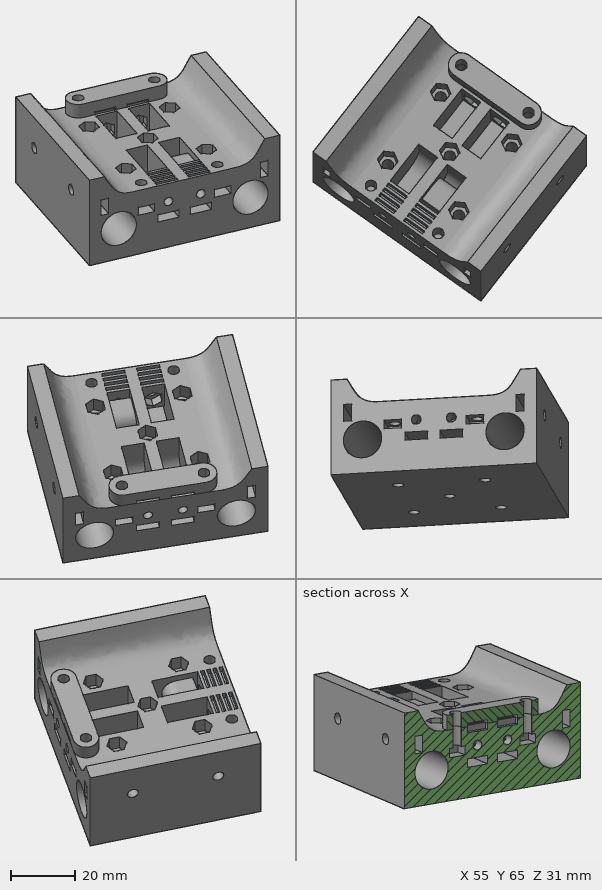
import cadquery as cq
import math

SIDES = (-1, 1)

block_length = 55.0
block_width = 65.0
block_height = 31.0
channel_floor_z = 23.1
channel_floor_width = 35.0
rim_width = 5.15
channel_slope_angle = math.radians(58.4)
floor_handle = 6.3
slope_handle = 5.45

bore_diameter = 12.0
bore_y = 22.5
bore_z = 11.0

screw_diameter = 3.5
nut_flats = 5.5
nut_corners = nut_flats / math.cos(math.pi / 6)
bolt_spacing = block_length / 2
nut_well_depth = 5.0
nut_thickness = 2.8

side_screw_z = 20.0
side_nut_slot_y = 27.25
side_nut_slot_thickness = 2.6

bar_width = 8.0
bar_height = 4.9
bar_screw_y = 13.0
bar_screw_x = block_length / 2 - bar_width / 2
bar_nut_slot_z = 15.5
belt_gap_height = 1.0

belt_width = 7.2
belt_y = 5.5
pocket_inner_x = 3.85
pocket_outer_x = 18.6
pocket_floor_z = 9.95
belt_slot_height = 2.6
scoop_run = 5.7
scoop_radius = 5.8
tension_hole_diameter = 3.0
tension_hole_z = 16.5

tooth_groove_count = 4
tooth_groove_width = 1.1
tooth_groove_depth = 2.0
tooth_groove_first_x = 20.1
tooth_groove_last_x = 26.0
tooth_groove_pitch = (tooth_groove_last_x - tooth_groove_first_x) / (tooth_groove_count - 1)

shoe_start_x = 7.0
shoe_length = 10.0
shoe_height = 8.8


def box(x_range, y_range, z_range):
    """Box between two limits on each axis, given in either order."""
    size = [abs(end - start) for start, end in (x_range, y_range, z_range)]
    low_corner = [min(limits) for limits in (x_range, y_range, z_range)]
    return cq.Workplane("XY").box(*size, centered=False).translate(tuple(low_corner))


def span(center, width):
    return (center - width / 2, center + width / 2)


def x_cylinder(diameter, x_range, y, z):
    start, end = sorted(x_range)
    return cq.Workplane("YZ", origin=(start, y, z)).circle(diameter / 2).extrude(end - start)


def z_cylinder(diameter, x, y, z_range):
    start, end = z_range
    return cq.Workplane("XY", origin=(x, y, start)).circle(diameter / 2).extrude(end - start)


def make_blank():
    """Block with a channel along X, each flank one curve from the flat floor to the rim."""
    half_width = block_width / 2
    floor_edge = (channel_floor_width / 2, channel_floor_z)
    rim_edge = (half_width - rim_width, block_height)
    floor_control = (floor_edge[0] + floor_handle, floor_edge[1])
    rim_control = (
        rim_edge[0] - slope_handle * math.cos(channel_slope_angle),
        rim_edge[1] - slope_handle * math.sin(channel_slope_angle),
    )
    flank = [rim_edge, rim_control, floor_control, floor_edge]
    opposite_flank = [(-y, z) for y, z in reversed(flank)]
    return (
        cq.Workplane("YZ", origin=(-block_length / 2, 0, 0))
        .moveTo(-half_width, 0)
        .lineTo(half_width, 0)
        .lineTo(half_width, block_height)
        .lineTo(*rim_edge)
        .bezier(flank)
        .lineTo(*opposite_flank[0])
        .bezier(opposite_flank)
        .lineTo(-half_width, block_height)
        .close()
        .extrude(block_length)
    )


def bolt_cutter(x, y):
    """Through hole with a hexagonal nut well open at the channel floor."""
    hole = z_cylinder(screw_diameter, x, y, (0, channel_floor_z))
    well_floor = cq.Workplane("XY", origin=(x, y, channel_floor_z - nut_well_depth))
    well = well_floor.polygon(6, nut_corners).extrude(nut_well_depth)
    return hole.union(well)


def side_screw_cutter(x_side, y_side):
    """Screw hole from a ±Y face, ending in a nut slot open at the end face."""
    screw_x = bolt_spacing / 2
    slot_start, slot_end = span(side_nut_slot_y, side_nut_slot_thickness)
    hole = (
        cq.Workplane("XZ", origin=(x_side * screw_x, y_side * slot_start, side_screw_z))
        .circle(screw_diameter / 2)
        .extrude(-y_side * (block_width / 2 - slot_start))
    )
    slot = box(
        (x_side * (screw_x - nut_flats / 2), x_side * block_length / 2),
        (y_side * slot_start, y_side * slot_end),
        span(side_screw_z, nut_flats),
    )
    return hole.union(slot)


def bar_screw_cutter(x_side, y_side):
    """Clamp screw hole from the channel floor into a nut slot open at the end face."""
    slot_z = span(bar_nut_slot_z, nut_thickness)
    hole = z_cylinder(screw_diameter, x_side * bar_screw_x, y_side * bar_screw_y,
                      (slot_z[0], channel_floor_z))
    slot = box(
        (x_side * (bar_screw_x - nut_flats / 2), x_side * block_length / 2),
        span(y_side * bar_screw_y, nut_flats),
        slot_z,
    )
    return hole.union(slot)


def belt_pocket_cutter(x_side, y_side):
    """Pocket with a scooped inner end, belt slot, and tension screw hole with nut recess."""
    belt_range = span(y_side * belt_y, belt_width)
    scoop_x = pocket_inner_x + scoop_run
    sweep_angle = math.asin(scoop_run / scoop_radius)

    def scoop_point(angle):
        return (
            x_side * (scoop_x - scoop_radius * math.sin(angle)),
            pocket_floor_z + scoop_radius * (1 - math.cos(angle)),
        )

    pocket = (
        cq.Workplane("XZ", origin=(0, belt_range[1], 0))
        .moveTo(x_side * pocket_outer_x, channel_floor_z)
        .lineTo(x_side * pocket_outer_x, pocket_floor_z)
        .lineTo(*scoop_point(0))
        .threePointArc(scoop_point(sweep_angle / 2), scoop_point(sweep_angle))
        .lineTo(x_side * pocket_inner_x, channel_floor_z)
        .close()
        .extrude(belt_width)
    )
    outward = (x_side * pocket_outer_x, x_side * block_length / 2)
    slot = box(outward, belt_range, (pocket_floor_z, pocket_floor_z + belt_slot_height))
    hole = x_cylinder(tension_hole_diameter, outward, y_side * belt_y, tension_hole_z)
    nut_recess = (
        cq.Workplane("YZ", origin=(x_side * pocket_outer_x, y_side * belt_y, tension_hole_z))
        .transformed(rotate=(0, 0, 90))
        .polygon(6, nut_corners)
        .extrude(x_side * nut_thickness)
    )
    return pocket.union(slot).union(hole).union(nut_recess)


def tooth_groove_cutter(x_side, y_side, index):
    groove_x = tooth_groove_first_x + index * tooth_groove_pitch
    return box(
        span(x_side * groove_x, tooth_groove_width),
        span(y_side * belt_y, belt_width),
        (channel_floor_z - tooth_groove_depth, channel_floor_z),
    )


def make_block():
    block = make_blank()
    block = block.cut(bolt_cutter(0, 0))
    for y_side in SIDES:
        bore_range = (-block_length / 2, block_length / 2)
        block = block.cut(x_cylinder(bore_diameter, bore_range, y_side * bore_y, bore_z))
        for x_side in SIDES:
            block = block.cut(bolt_cutter(x_side * bolt_spacing / 2, y_side * bolt_spacing / 2))
            block = block.cut(side_screw_cutter(x_side, y_side))
            block = block.cut(bar_screw_cutter(x_side, y_side))
            block = block.cut(belt_pocket_cutter(x_side, y_side))
            for index in range(tooth_groove_count):
                block = block.cut(tooth_groove_cutter(x_side, y_side, index))
    return block


def make_clamp_bar():
    """Round-ended bar across the -X end, with two screw holes and two belt gaps below."""
    bar_top_z = channel_floor_z + bar_height
    bar = (
        cq.Workplane("XY", origin=(-bar_screw_x, 0, channel_floor_z))
        .slot2D(2 * bar_screw_y + bar_width, bar_width, 90)
        .extrude(bar_height)
    )
    for y_side in SIDES:
        bar = bar.cut(z_cylinder(screw_diameter, -bar_screw_x, y_side * bar_screw_y,
                                 (channel_floor_z, bar_top_z)))
        bar = bar.cut(box(
            span(-bar_screw_x, bar_width),
            span(y_side * belt_y, belt_width),
            (channel_floor_z, channel_floor_z + belt_gap_height),
        ))
    return bar


def make_belt_shoe():
    """Shoe with a half-round nose facing the scoop of the +X, +Y pocket."""
    nose_radius = shoe_height / 2
    nose_x = shoe_start_x + nose_radius
    shoe_end_x = shoe_start_x + shoe_length
    return (
        cq.Workplane("XZ", origin=(0, belt_y + belt_width / 2, tension_hole_z))
        .moveTo(shoe_end_x, nose_radius)
        .lineTo(nose_x, nose_radius)
        .threePointArc((shoe_start_x, 0), (nose_x, -nose_radius))
        .lineTo(shoe_end_x, -nose_radius)
        .close()
        .extrude(belt_width)
    )


block = make_block()
clamp_bar = make_clamp_bar()
belt_shoe = make_belt_shoe()

bodies = [block, clamp_bar, belt_shoe]
result = cq.Compound.makeCompound([body.solids().val() for body in bodies])